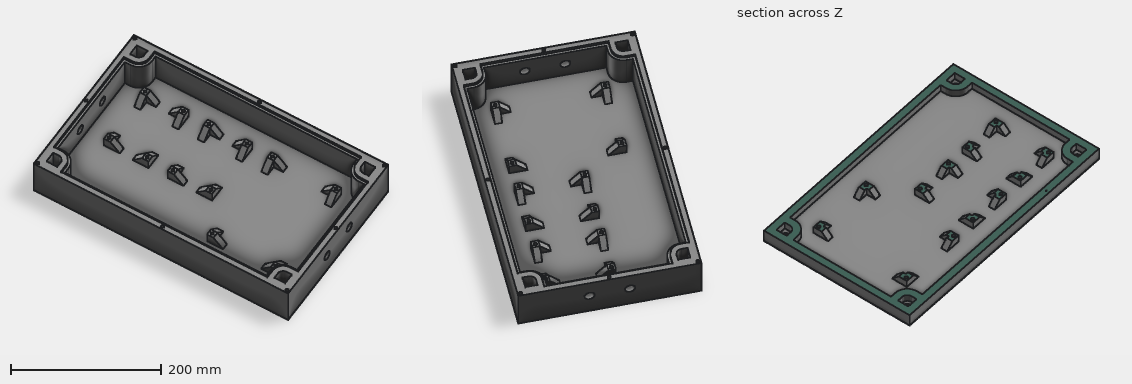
import cadquery as cq

LENGTH = 400.0
WIDTH = 250.0
HEIGHT = 60.0

FLOOR = 8.5
RIM = 8.0
LEDGE = 4.0
LEDGE_DEPTH = 4.0
WALL = RIM + LEDGE

COLUMN_CENTRE = 21.0
COLUMN_RADIUS = 21.0
WELL_RADIUS = 8.5
MOUNTING_HOLE = 7.0

SCREW_HOLE = 4.5
SCREW_DEPTH = 8.0

CABLE_HOLE = 13.5
CABLE_SPACING = 55.0
CABLE_Z = 32.5

POST = 10.0
RIB_REACH = 20.0
RIB_LENGTH = RIB_REACH - POST / 2
POST_HEIGHT = RIB_LENGTH

POST_INSET = 48.0
FIRST_COLUMN = POST_INSET - LENGTH / 2
TOP_ROW = WIDTH / 2 - POST_INSET
BOARD_PITCH = 100.0
SMALL_BOARD = (60.0, 90.0)
LARGE_BOARD = (100.0, 150.0)
BOARDS = [
    (FIRST_COLUMN, TOP_ROW, *SMALL_BOARD),
    (FIRST_COLUMN + BOARD_PITCH, TOP_ROW, *SMALL_BOARD),
    (FIRST_COLUMN + 2 * BOARD_PITCH, TOP_ROW, *LARGE_BOARD),
]

SIGNS = [(1, 1), (1, -1), (-1, 1), (-1, -1)]


def box(length, width, bottom, top):
    """Box centred on the Z axis between two heights."""
    return cq.Workplane("XY", origin=(0, 0, bottom)).rect(length, width).extrude(top - bottom)


def round_cornered_block(radius, reach, bottom, top):
    """Block around the -X -Y column axis, square except for its rounded inward corner.

    It reaches the given distance from the axis towards the two outer sides.
    """
    return (
        cq.Workplane("XY", origin=(COLUMN_CENTRE - LENGTH / 2, COLUMN_CENTRE - WIDTH / 2, bottom))
        .moveTo(-reach, -reach)
        .lineTo(radius, -reach)
        .lineTo(radius, 0)
        .radiusArc((0, radius), -radius)
        .lineTo(-reach, radius)
        .close()
        .extrude(top - bottom)
    )


def at_four_corners(corner):
    """Union of a -X -Y corner solid and its mirror images."""
    pair = corner.union(corner.mirror("YZ"))
    return pair.union(pair.mirror("XZ"))


def opening(inset, column_radius, bottom, top):
    """Inside space at a given distance from the outer sides, less the four columns."""
    columns = at_four_corners(round_cornered_block(column_radius, COLUMN_CENTRE, bottom, top))
    return box(LENGTH - 2 * inset, WIDTH - 2 * inset, bottom, top).cut(columns)


def drill(points, diameter, top, depth):
    """Vertical holes going down from a given height."""
    return (
        cq.Workplane("XY", origin=(0, 0, top))
        .pushPoints(points)
        .circle(diameter / 2)
        .extrude(-depth)
    )


def rib(direction):
    """Triangular rib along X that falls from the post top to the floor."""
    root = direction * POST / 2
    return (
        cq.Workplane("XZ")
        .moveTo(0, 0)
        .lineTo(direction * RIB_REACH, 0)
        .lineTo(root, POST_HEIGHT)
        .lineTo(0, POST_HEIGHT)
        .close()
        .extrude(POST / 2, both=True)
    )


def standoff(x, y, x_direction, y_direction):
    """Post with one rib along X and one along Y, pointing in the given directions."""
    post = box(POST, POST, 0, POST_HEIGHT)
    y_rib = rib(y_direction).rotate((0, 0, 0), (0, 0, 1), 90)
    hole = drill([(0, 0)], SCREW_HOLE, POST_HEIGHT, SCREW_DEPTH)
    return post.union(rib(x_direction)).union(y_rib).cut(hole).translate((x, y, FLOOR))


def board_standoffs(left, top, x_spacing, y_spacing):
    """Standoffs at the four corners of one board, with their ribs pointing inwards."""
    right = left + x_spacing
    bottom = top - y_spacing
    return [
        standoff(x, y, x_direction, y_direction)
        for x, x_direction in ((left, 1), (right, -1))
        for y, y_direction in ((top, -1), (bottom, 1))
    ]


ledge_z = HEIGHT - LEDGE_DEPTH
result = box(LENGTH, WIDTH, 0, HEIGHT)
result = result.cut(opening(WALL, COLUMN_RADIUS, FLOOR, HEIGHT))
result = result.cut(opening(RIM, COLUMN_RADIUS - LEDGE, ledge_z, HEIGHT))

result = result.cut(at_four_corners(round_cornered_block(WELL_RADIUS, WELL_RADIUS, FLOOR, HEIGHT)))
column_x = LENGTH / 2 - COLUMN_CENTRE
column_y = WIDTH / 2 - COLUMN_CENTRE
column_points = [(i * column_x, j * column_y) for i, j in SIGNS]
result = result.cut(drill(column_points, MOUNTING_HOLE, FLOOR, FLOOR))

rim_x = LENGTH / 2 - RIM / 2
rim_y = WIDTH / 2 - RIM / 2
rim_points = [(i * rim_x, j * rim_y) for i, j in SIGNS]
rim_points += [(rim_x, 0), (-rim_x, 0), (0, rim_y), (0, -rim_y)]
result = result.cut(drill(rim_points, SCREW_HOLE, HEIGHT, SCREW_DEPTH))

cable_holes = (
    cq.Workplane("YZ")
    .pushPoints([(-CABLE_SPACING / 2, CABLE_Z), (CABLE_SPACING / 2, CABLE_Z)])
    .circle(CABLE_HOLE / 2)
    .extrude(LENGTH / 2, both=True)
)
result = result.cut(cable_holes)

for board in BOARDS:
    for support in board_standoffs(*board):
        result = result.union(support)